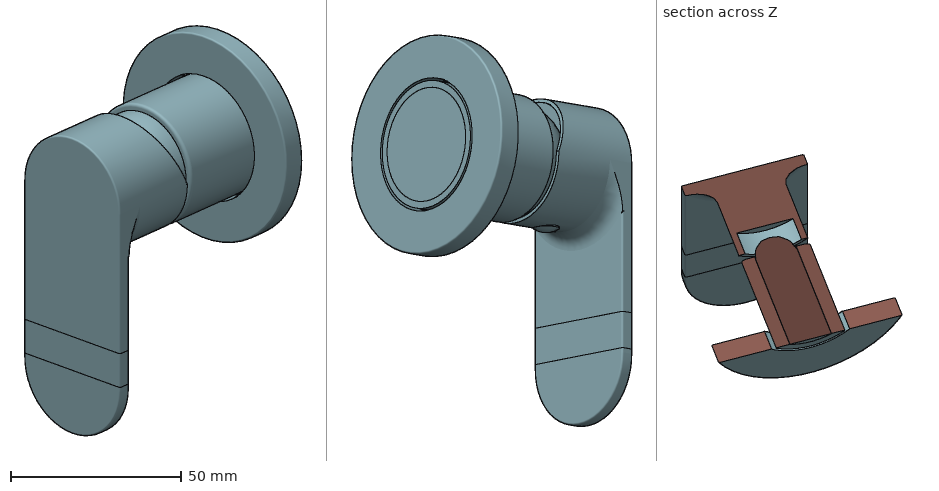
import cadquery as cq
import math


OVERALL_HEIGHT = 108.5

PLATE_DIAMETER = 65.0
PLATE_THICKNESS = 6.9
PLATE_EDGE_ROUND = 0.5
PLATE_HOLE_RADIUS = 19.7

BODY_RADIUS = 19.0
SLEEVE_END = 33.9
SLEEVE_EDGE_ROUND = 1.0

CARTRIDGE_RADIUS = 16.9
BALL_CENTRE = 33.0

HUB_START = 35.6
HUB_SLANT = 8.0
HANDLE_FRONT = 65.2
HUB_BORE_RADIUS = 17.9
HUB_BORE_END = HUB_START + HUB_SLANT

LEVER_THICKNESS = 4.0
LEVER_BACK = HANDLE_FRONT - LEVER_THICKNESS
LEVER_BOTTOM = PLATE_DIAMETER / 2 - OVERALL_HEIGHT
LEVER_FRONT_ROUND = 0.5
LEVER_BACK_ROUND = 0.5
HUB_BLEND_RADIUS = 5.0

BAND_TOP = -44.7
BAND_HEIGHT = 10.8
BAND_BOTTOM = BAND_TOP - BAND_HEIGHT

PLUG_RADIUS = 3.9
PLUG_CENTRE = 48.3
PLUG_RISE = 1.2
PLUG_INNER_END = 15.7


def disc(radius, start, end):
    """Cylinder on the Y axis between two depths."""
    return cq.Workplane("XZ", origin=(0, -start, 0)).circle(radius).extrude(end - start)


def make_plate():
    plate = disc(PLATE_DIAMETER / 2, 0, PLATE_THICKNESS).edges().fillet(PLATE_EDGE_ROUND)
    return plate.cut(disc(PLATE_HOLE_RADIUS, 0, PLATE_THICKNESS))


def make_sleeve():
    sleeve = disc(BODY_RADIUS, 0, SLEEVE_END).faces("<Y").edges().fillet(SLEEVE_EDGE_ROUND)
    return sleeve.cut(disc(CARTRIDGE_RADIUS, 0, SLEEVE_END))


def make_cartridge():
    neck = disc(CARTRIDGE_RADIUS, 0, BALL_CENTRE)
    diagonal = CARTRIDGE_RADIUS * math.sqrt(0.5)
    ball_end = (
        cq.Workplane("XY")
        .moveTo(0, -BALL_CENTRE)
        .lineTo(CARTRIDGE_RADIUS, -BALL_CENTRE)
        .threePointArc((diagonal, -BALL_CENTRE - diagonal), (0, -BALL_CENTRE - CARTRIDGE_RADIUS))
        .close()
        .revolve(360, (0, 0), (0, 1))
    )
    return neck.union(ball_end)


def lever_slab(start):
    """Slab with a half-round top and bottom, from a depth to the handle front."""
    tip_centre = LEVER_BOTTOM + BODY_RADIUS
    return (
        cq.Workplane("XZ", origin=(0, -start, 0))
        .moveTo(-BODY_RADIUS, 0)
        .threePointArc((0, BODY_RADIUS), (BODY_RADIUS, 0))
        .lineTo(BODY_RADIUS, tip_centre)
        .threePointArc((0, LEVER_BOTTOM), (-BODY_RADIUS, tip_centre))
        .close()
        .extrude(HANDLE_FRONT - start)
    )


def hub_blend():
    """Concave flare from the hub to the back of the lever, no wider than the lever."""
    start = LEVER_BACK - HUB_BLEND_RADIUS
    flare_radius = BODY_RADIUS + HUB_BLEND_RADIUS
    sag = HUB_BLEND_RADIUS * (1 - math.sqrt(0.5))
    flare = (
        cq.Workplane("XY")
        .moveTo(0, -start)
        .lineTo(BODY_RADIUS, -start)
        .threePointArc((BODY_RADIUS + sag, -LEVER_BACK + sag), (flare_radius, -LEVER_BACK))
        .lineTo(flare_radius, -HANDLE_FRONT)
        .lineTo(0, -HANDLE_FRONT)
        .close()
        .revolve(360, (0, 0), (0, 1))
    )
    return flare.intersect(lever_slab(start))


def hub_slant():
    """Wedge that slopes the upper half of the hub away from the sleeve."""
    return (
        cq.Workplane("YZ")
        .polyline([
            (-HUB_START, 0),
            (-HUB_START, BODY_RADIUS),
            (-HUB_START - HUB_SLANT, BODY_RADIUS),
        ])
        .close()
        .extrude(BODY_RADIUS, both=True)
    )


def make_plug():
    top = BODY_RADIUS + PLUG_RISE
    dome_radius = (PLUG_RADIUS**2 + PLUG_RISE**2) / (2 * PLUG_RISE)
    half_angle = math.asin(PLUG_RADIUS / dome_radius) / 2
    middle = (
        dome_radius * math.sin(half_angle),
        dome_radius - top - dome_radius * math.cos(half_angle),
    )
    return (
        cq.Workplane("XZ", origin=(0, -PLUG_CENTRE, 0))
        .moveTo(0, -PLUG_INNER_END)
        .lineTo(PLUG_RADIUS, -PLUG_INNER_END)
        .lineTo(PLUG_RADIUS, -BODY_RADIUS)
        .threePointArc(middle, (0, -top))
        .close()
        .revolve(360, (0, 0), (0, 1))
    )


def make_whole_handle(cartridge, plug):
    """Hub and complete lever, before the band and tip are parted off."""
    lever = lever_slab(LEVER_BACK).faces(">Y").edges().fillet(LEVER_BACK_ROUND)
    hub = disc(BODY_RADIUS, HUB_START, HANDLE_FRONT).cut(hub_slant())
    handle = hub.union(lever).union(hub_blend()).clean()
    handle = handle.faces("<Y").edges().fillet(LEVER_FRONT_ROUND)
    bore = disc(HUB_BORE_RADIUS, HUB_START, HUB_BORE_END)
    return handle.cut(bore).cut(cartridge).cut(plug)


def part_between(handle, bottom, top):
    """Piece of the whole handle between two heights."""
    height = top - bottom
    slab = cq.Workplane("XY", origin=(0, 0, bottom)).box(
        2 * PLATE_DIAMETER, 2 * HANDLE_FRONT, height, centered=(True, True, False)
    )
    return handle.intersect(slab)


plate = make_plate()
sleeve = make_sleeve()
cartridge = make_cartridge()
plug = make_plug()
whole_handle = make_whole_handle(cartridge, plug)
handle = part_between(whole_handle, BAND_TOP, BODY_RADIUS)
band = part_between(whole_handle, BAND_BOTTOM, BAND_TOP)
tip = part_between(whole_handle, LEVER_BOTTOM, BAND_BOTTOM)

result = cq.Compound.makeCompound([
    plate.val(),
    sleeve.val(),
    cartridge.val(),
    plug.val(),
    handle.val(),
    band.val(),
    tip.val(),
])